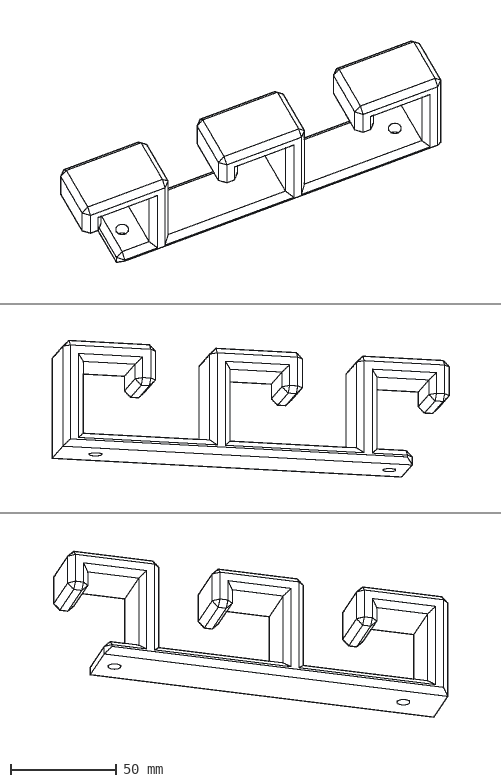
import cadquery as cq

width = 30.0
height = 52.0
hook_count = 3
hook_pitch = 71.5
hook_length = 45.1
wall = 10.0
lip_drop = 20.1
base_thickness = 7.0
base_length = 170.0
edge_chamfer = 3.0
screw_hole_diameter = 6.0

overall_length = (hook_count - 1) * hook_pitch + hook_length
back_y = overall_length / 2
base_end_y = back_y - base_length

last_post_inner_y = back_y - (hook_count - 1) * hook_pitch - wall
end_hole_y = (last_post_inner_y + base_end_y) / 2
first_hole_y = end_hole_y + (hook_count - 1) * hook_pitch


def bar(y_max, length, z_min, bar_height):
    """Full-width bar reaching from y_max towards -Y, centred on X."""
    return cq.Workplane("XY").box(width, length, bar_height, centered=(True, False, False)).translate(
        (0, y_max - length, z_min)
    )


def hook(y_max):
    """Post, arm and hanging lip of one hook."""
    post = bar(y_max, wall, 0, height)
    arm = bar(y_max, hook_length, height - wall, wall)
    lip = bar(y_max - hook_length + wall, wall, height - lip_drop, lip_drop)
    return post.union(arm).union(lip)


body = bar(back_y, base_length, 0, base_thickness)
for index in range(hook_count):
    body = body.union(hook(back_y - index * hook_pitch))
body = body.clean()

side_edges = body.faces("<X or >X").edges()

cross_corners = [(base_end_y, base_thickness)]
for index in range(hook_count):
    post_y = back_y - index * hook_pitch
    tip_y = post_y - hook_length
    cross_corners += [
        (post_y, height),
        (tip_y, height),
        (tip_y, height - lip_drop),
        (tip_y + wall, height - lip_drop),
    ]

cross_edges = body.newObject([])
for y, z in cross_corners:
    cross_edges = cross_edges.add(body.edges(cq.NearestToPointSelector((0, y, z))))

body = side_edges.add(cross_edges).chamfer(edge_chamfer)

screw_holes = (
    cq.Workplane("XY")
    .pushPoints([(0, first_hole_y), (0, end_hole_y)])
    .circle(screw_hole_diameter / 2)
    .extrude(base_thickness)
)
result = body.cut(screw_holes)